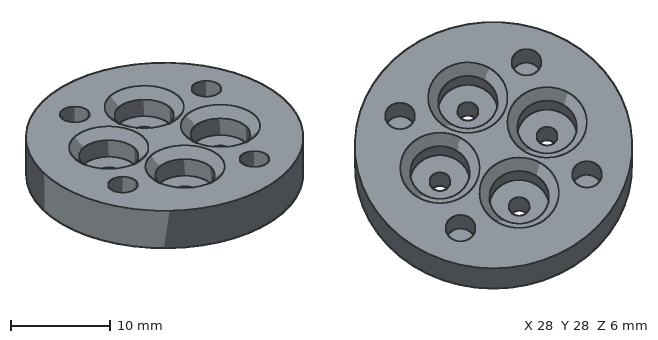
import cadquery as cq

disc_diameter = 28.0
boss_diameter = 16.0
total_height = 6.0
boss_height = 1.5
disc_height = total_height - boss_height

pocket_diameter = 6.0
pocket_depth = 3.0
pocket_chamfer = 1.0
through_diameter = 2.1
pocket_circle_radius = 6.0

blind_diameter = 3.0
blind_depth = 3.0
blind_circle_radius = 10.0

holes_per_circle = 4
pocket_start_angle = 45
blind_start_angle = 0


def make_body():
    """Boss standing on Z = 0 with the disc on top of it."""
    boss = cq.Workplane("XY").circle(boss_diameter / 2).extrude(boss_height)
    disc = cq.Workplane("XY", origin=(0, 0, boss_height)).circle(disc_diameter / 2).extrude(disc_height)
    return boss.union(disc)


def make_cutters(diameter, depth, circle_radius, start_angle):
    """Cylinders spaced evenly around the axis, reaching down from the top face."""
    return (
        cq.Workplane("XY", origin=(0, 0, total_height))
        .polarArray(circle_radius, start_angle, 360, holes_per_circle)
        .circle(diameter / 2)
        .extrude(-depth)
    )


def make_chamfer_cutters():
    """45 degree cones that open the pocket mouths."""
    cone = cq.Solid.makeCone(
        pocket_diameter / 2,
        pocket_diameter / 2 + pocket_chamfer,
        pocket_chamfer,
        pnt=cq.Vector(0, 0, total_height - pocket_chamfer),
    )
    return (
        cq.Workplane("XY")
        .polarArray(pocket_circle_radius, pocket_start_angle, 360, holes_per_circle)
        .eachpoint(cone, combine=False)
    )


result = (
    make_body()
    .cut(make_cutters(pocket_diameter, pocket_depth, pocket_circle_radius, pocket_start_angle))
    .cut(make_chamfer_cutters())
    .cut(make_cutters(through_diameter, total_height, pocket_circle_radius, pocket_start_angle))
    .cut(make_cutters(blind_diameter, blind_depth, blind_circle_radius, blind_start_angle))
)